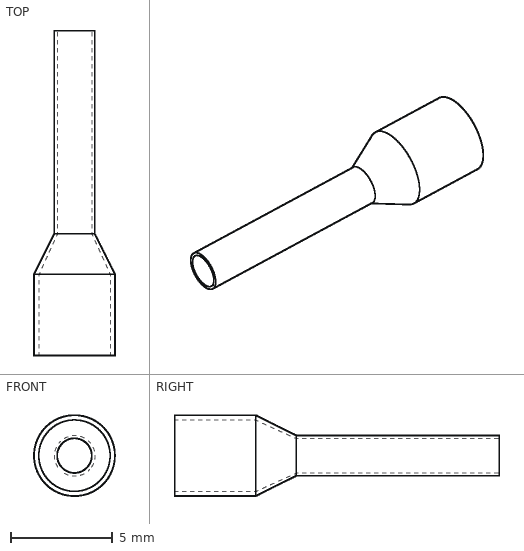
import cadquery as cq

total_length = 16.0
collar_length = total_length / 4
cone_length = collar_length / 2

collar_outer_radius = 2.0
collar_bore_radius = 1.76
tube_outer_radius = collar_outer_radius / 2
tube_bore_radius = 0.85

cone_start = collar_length
cone_end = cone_start + cone_length


def stepped_cone_body(wide_radius, narrow_radius):
    """Revolved solid: wide cylinder, taper, then narrow cylinder towards +Y."""
    half_profile = (
        cq.Workplane("XY")
        .moveTo(0, 0)
        .lineTo(wide_radius, 0)
        .lineTo(wide_radius, cone_start)
        .lineTo(narrow_radius, cone_end)
        .lineTo(narrow_radius, total_length)
        .lineTo(0, total_length)
        .close()
    )
    return half_profile.revolve(360, (0, 0, 0), (0, 1, 0))


outer_body = stepped_cone_body(collar_outer_radius, tube_outer_radius)
through_bore = stepped_cone_body(collar_bore_radius, tube_bore_radius)

result = outer_body.cut(through_bore)